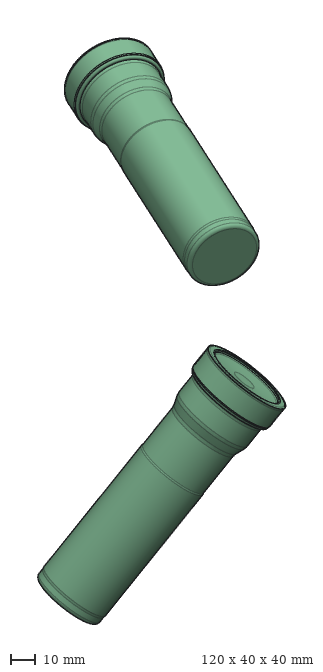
import cadquery as cq
import math

length = 120.0

bead_radius = 19.5
bead_end = 12.2
bead_rounding = 1.1
collar_radius = 35.5 / 2
collar_start = 13.7
root_radius = 18.1
taper_start = 23.4
taper_angle = 20.0
taper_rounding = 4.8
neck_radius = 15.8
sleeve_radius = 32.0 / 2
sleeve_start = 49.9
sleeve_end = 114.7
lead_in_length = 0.7
lead_out_length = 1.1
end_rounding = 1.7

lid_radius = 40.0 / 2
skirt_end_radius = 19.9
skirt_start = 1.2
skirt_end = 10.3
lid_length = 10.9
lid_hem_radius = 19.7
lid_face_radius = 38.2 / 2
rim_slope_depth = 0.2
rim_land_end = 0.5
lid_thickness = 0.5
mouth_radius = 17.0
lip_radius = 16.5
lip_depth = 0.2
dish_wall_radius = 16.2
dish_radius = 31.5 / 2
dish_rim_depth = 1.3
dish_depth = 1.9
dish_floor_radius = 5.0
dish_rounding = dish_wall_radius - dish_radius
dish_wall_end = dish_rim_depth - dish_rounding
floor_back = dish_depth + lid_thickness
dish_rim_back = dish_rim_depth + lid_thickness

taper_length = (collar_radius - neck_radius) / math.tan(math.radians(taper_angle))
taper_end = taper_start + taper_length


def revolve_about_x(profile):
    """Turn a closed profile, drawn as (x, radius), about the X axis."""
    return profile.close().revolve(360, (0, 0, 0), (1, 0, 0))


def root_arc_point():
    """Middle point of the arc that blends the bead face tangentially into the collar."""
    run = collar_start - bead_end
    rise = root_radius - collar_radius
    arc_radius = (run**2 + rise**2) / (2 * rise)
    half_angle = math.asin(run / arc_radius) / 2
    return (
        collar_start - arc_radius * math.sin(half_angle),
        collar_radius + arc_radius * (1 - math.cos(half_angle)),
    )


def circle_edge(x, radius):
    """Selector for the circular edge that passes through (x, radius)."""
    tolerance = 0.01
    reach = radius + tolerance
    return cq.selectors.BoxSelector(
        (x - tolerance, -reach, -reach), (x + tolerance, reach, reach), boundingbox=True
    )


def make_pipe():
    """Solid pipe whose mouth has a recess that matches the back of the lid's dish."""
    profile = (
        cq.Workplane("XY")
        .moveTo(floor_back, 0)
        .lineTo(floor_back, dish_floor_radius)
        .lineTo(dish_rim_back, mouth_radius)
        .lineTo(lid_thickness, mouth_radius)
        .lineTo(lid_thickness, bead_radius)
        .lineTo(bead_end - bead_rounding, bead_radius)
        .radiusArc((bead_end, bead_radius - bead_rounding), bead_rounding)
        .lineTo(bead_end, root_radius)
        .threePointArc(root_arc_point(), (collar_start, collar_radius))
        .lineTo(taper_start, collar_radius)
        .lineTo(taper_end, neck_radius)
        .lineTo(sleeve_start - lead_in_length, neck_radius)
        .lineTo(sleeve_start, sleeve_radius)
        .lineTo(sleeve_end, sleeve_radius)
        .lineTo(sleeve_end + lead_out_length, neck_radius)
        .lineTo(length, neck_radius)
        .lineTo(length, 0)
    )
    pipe = revolve_about_x(profile)
    pipe = pipe.edges(circle_edge(taper_start, collar_radius)).fillet(taper_rounding)
    pipe = pipe.edges(circle_edge(taper_end, neck_radius)).fillet(taper_rounding)
    return pipe.edges(circle_edge(length, neck_radius)).fillet(end_rounding)


def make_lid():
    """Thin cover with a conical dish in its face and a slightly barrelled skirt around the bead."""
    skirt_middle = (skirt_start + skirt_end) / 2
    profile = (
        cq.Workplane("XY")
        .moveTo(dish_depth, 0)
        .lineTo(dish_depth, dish_floor_radius)
        .lineTo(dish_rim_depth, dish_radius)
        .radiusArc((dish_wall_end, dish_wall_radius), -dish_rounding)
        .lineTo(lip_depth, lip_radius)
        .lineTo(0, mouth_radius)
        .lineTo(0, lid_face_radius)
        .lineTo(rim_slope_depth, lid_radius)
        .lineTo(rim_land_end, lid_radius)
        .lineTo(skirt_start, skirt_end_radius)
        .threePointArc((skirt_middle, lid_radius), (skirt_end, skirt_end_radius))
        .lineTo(lid_length, lid_hem_radius)
        .lineTo(lid_length, bead_radius)
        .lineTo(lid_thickness, bead_radius)
        .lineTo(lid_thickness, mouth_radius)
        .lineTo(dish_rim_back, mouth_radius)
        .lineTo(floor_back, dish_floor_radius)
        .lineTo(floor_back, 0)
    )
    return revolve_about_x(profile)


lid = make_lid()
pipe = make_pipe()

result = cq.Compound.makeCompound([pipe.val(), lid.val()])